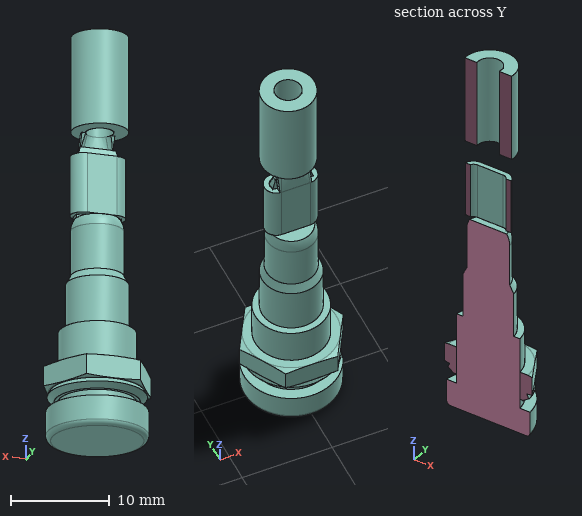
import cadquery as cq
import math

TOTAL_HEIGHT = 43.0

FLANGE_DIA = 10.5
FLANGE_HEIGHT = 3.1
FLANGE_FILLET = 0.5
SHANK_DIA = 8.0
SHANK_TOP = 11.52
STEP_DIA = 6.5
STEP_TOP = 16.7
NECK_DIA = 5.5
NECK_BASE = 17.6
NECK_SHOULDER = 22.4
NECK_TOP = 23.6
NECK_TOP_DIA = 4.77
TAB_WIDTH = 4.8
TAB_THICKNESS = 1.0
TAB_TAPER_START = 29.85
TAB_TOP = 31.3
TAB_TIP_WIDTH = 3.8
TAB_TIP_THICKNESS = 0.55

NUT_CORNER_DIA = 11.55
NUT_FLATS = NUT_CORNER_DIA * math.cos(math.pi / 6)
NUT_BASE = 5.1
NUT_TOP = 7.5
NUT_CORNER_DROP = 0.15
WASHER_BASE = 4.13
WASHER_RIM_Z = 4.65
WASHER_RIM_DIA = 10.25
WASHER_BASE_DIA = 8.77
WASHER_TOP_DIA = 9.7

SLEEVE_BASE = 23.9
SLEEVE_TOP = 30.27
SLEEVE_Y = 0.17
SLEEVE_FLAT = 3.2
SLEEVE_THICKNESS = 2.65
SLEEVE_BORE = 1.4
BARREL_BASE = 32.85
BARREL_Y = 0.77
BARREL_DIA = 5.9
BARREL_BORE = 2.85
BRIDGE_DIA = 3.85
BRIDGE_WIDTH = 3.53
BRIDGE_EDGE_TOP_Y = 0.35
BRIDGE_EDGE_BASE_Y = -0.55


def make_tab():
    """Flat tab with a tip tapered in width and thickness."""
    blade = (
        cq.Workplane("XY", origin=(0, 0, NECK_TOP))
        .rect(TAB_WIDTH, TAB_THICKNESS)
        .extrude(TAB_TAPER_START - NECK_TOP)
    )
    tip = (
        cq.Workplane("XY", origin=(0, 0, TAB_TAPER_START))
        .rect(TAB_WIDTH, TAB_THICKNESS)
        .workplane(offset=TAB_TOP - TAB_TAPER_START)
        .rect(TAB_TIP_WIDTH, TAB_TIP_THICKNESS)
        .loft(ruled=True)
    )
    return blade.union(tip)


def make_housing():
    """Turned body, rounded at the flange base and the neck top, carrying the tab."""
    turned = (
        cq.Workplane("XZ")
        .lineTo(FLANGE_DIA / 2 - FLANGE_FILLET, 0)
        .tangentArcPoint((FLANGE_DIA / 2, FLANGE_FILLET), relative=False)
        .lineTo(FLANGE_DIA / 2, FLANGE_HEIGHT)
        .lineTo(SHANK_DIA / 2, FLANGE_HEIGHT)
        .lineTo(SHANK_DIA / 2, SHANK_TOP)
        .lineTo(STEP_DIA / 2, SHANK_TOP)
        .lineTo(STEP_DIA / 2, STEP_TOP)
        .lineTo(NECK_DIA / 2, NECK_BASE)
        .lineTo(NECK_DIA / 2, NECK_SHOULDER)
        .tangentArcPoint((NECK_TOP_DIA / 2, NECK_TOP), relative=False)
        .lineTo(0, NECK_TOP)
        .close()
        .revolve(360, (0, 0, 0), (0, 1, 0))
    )
    return turned.union(make_tab())


def make_nut():
    """Hexagon with corners chamfered at both ends, on a double-cone washer face."""
    hexagon = (
        cq.Workplane("XY", origin=(0, 0, NUT_BASE))
        .polygon(6, NUT_CORNER_DIA)
        .extrude(NUT_TOP - NUT_BASE)
    )
    corner_trim = (
        cq.Workplane("XZ")
        .moveTo(0, NUT_BASE)
        .lineTo(NUT_FLATS / 2, NUT_BASE)
        .lineTo(NUT_CORNER_DIA / 2, NUT_BASE + NUT_CORNER_DROP)
        .lineTo(NUT_CORNER_DIA / 2, NUT_TOP - NUT_CORNER_DROP)
        .lineTo(NUT_FLATS / 2, NUT_TOP)
        .lineTo(0, NUT_TOP)
        .close()
        .revolve(360, (0, 0, 0), (0, 1, 0))
    )
    washer = (
        cq.Workplane("XZ")
        .moveTo(0, WASHER_BASE)
        .lineTo(WASHER_BASE_DIA / 2, WASHER_BASE)
        .lineTo(WASHER_RIM_DIA / 2, WASHER_RIM_Z)
        .lineTo(WASHER_TOP_DIA / 2, NUT_BASE)
        .lineTo(0, NUT_BASE)
        .close()
        .revolve(360, (0, 0, 0), (0, 1, 0))
    )
    bore = (
        cq.Workplane("XY", origin=(0, 0, WASHER_BASE))
        .circle(SHANK_DIA / 2)
        .extrude(NUT_TOP - WASHER_BASE)
    )
    return hexagon.intersect(corner_trim).union(washer).cut(bore)


def slot_prism(thickness):
    """Slot-shaped prism over the sleeve height."""
    return (
        cq.Workplane("XY", origin=(0, SLEEVE_Y, SLEEVE_BASE))
        .slot2D(SLEEVE_FLAT + thickness, thickness)
        .extrude(SLEEVE_TOP - SLEEVE_BASE)
    )


def barrel_cylinder(diameter):
    """Cylinder over the wire barrel height."""
    return (
        cq.Workplane("XY", origin=(0, BARREL_Y, BARREL_BASE))
        .circle(diameter / 2)
        .extrude(TOTAL_HEIGHT - BARREL_BASE)
    )


def slot_to_round(thickness, diameter):
    """Ruled transition from the sleeve slot to a circle on the barrel axis."""
    half = thickness / 2
    end = SLEEVE_FLAT / 2
    radius = diameter / 2
    diagonal = radius * math.sqrt(0.5)
    rise = BARREL_BASE - SLEEVE_TOP
    shift = BARREL_Y - SLEEVE_Y
    return (
        cq.Workplane("XY", origin=(0, SLEEVE_Y, SLEEVE_TOP))
        .moveTo(-end, -half)
        .lineTo(end, -half)
        .threePointArc((end + half, 0), (end, half))
        .lineTo(-end, half)
        .threePointArc((-end - half, 0), (-end, -half))
        .close()
        .workplane(offset=rise)
        .moveTo(-diagonal, shift - diagonal)
        .threePointArc((0, shift - radius), (diagonal, shift - diagonal))
        .threePointArc((radius, shift), (diagonal, shift + diagonal))
        .threePointArc((0, shift + radius), (-diagonal, shift + diagonal))
        .threePointArc((-radius, shift), (-diagonal, shift - diagonal))
        .close()
        .loft(ruled=True)
    )


def make_bridge():
    """The -Y part of the transition shell, trimmed to a sloping open edge."""
    shell = slot_to_round(SLEEVE_THICKNESS, BRIDGE_DIA).cut(slot_to_round(SLEEVE_BORE, BARREL_BORE))
    kept_zone = (
        cq.Workplane("YZ")
        .moveTo(-BARREL_DIA, SLEEVE_TOP)
        .lineTo(BRIDGE_EDGE_BASE_Y, SLEEVE_TOP)
        .lineTo(BRIDGE_EDGE_TOP_Y, BARREL_BASE)
        .lineTo(-BARREL_DIA, BARREL_BASE)
        .close()
        .extrude(BRIDGE_WIDTH / 2, both=True)
    )
    return shell.intersect(kept_zone)


def make_receptacle():
    """Hollow sleeve fitted to the tab edges, joined by the bridge to the wire barrel."""
    sleeve = slot_prism(SLEEVE_THICKNESS).cut(slot_prism(SLEEVE_BORE))
    barrel = barrel_cylinder(BARREL_DIA).cut(barrel_cylinder(BARREL_BORE))
    return sleeve.union(make_bridge()).union(barrel).cut(make_tab())


housing = make_housing()
nut = make_nut()
receptacle = make_receptacle()

result = cq.Compound.makeCompound([housing.solids().val(), nut.solids().val(), receptacle.solids().val()])